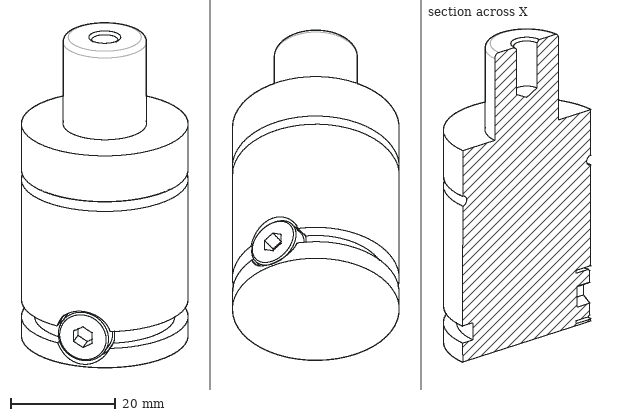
import cadquery as cq

body_diameter = 32.0
body_height = 44.0
total_height = 62.0
rod_diameter = body_diameter / 2
rod_edge_radius = 1.0

round_groove_radius = 1.0
round_groove_height = 33.5
square_groove_diameter = 26.9
square_groove_bottom = 4.0
square_groove_top = 7.5

rod_hole_diameter = 5.0
rod_hole_mouth_diameter = 6.15
rod_hole_depth = 9.9
drill_tip_depth = rod_hole_diameter / 4

plug_height = 6.0
plug_diameter = 10.0
plug_face_diameter = 9.25
plug_face_reach = 15.7
bore_diameter = 11.0
bore_floor_reach = 12.35
hex_across_corners = 4.3
hex_depth = 3.1

body_radius = body_diameter / 2


def plug_plane(reach):
    """Plane facing -Y at the given distance from the body axis."""
    return cq.Workplane("XZ", origin=(0, -reach, plug_height))


def make_body():
    body = cq.Workplane("XY").circle(body_radius).extrude(body_height)
    rod = cq.Workplane("XY").circle(rod_diameter / 2).extrude(total_height)
    return body.union(rod.faces(">Z").edges().fillet(rod_edge_radius))


def make_round_groove():
    return cq.Workplane("XY").add(
        cq.Solid.makeTorus(body_radius, round_groove_radius, cq.Vector(0, 0, round_groove_height))
    )


def make_square_groove():
    return (
        cq.Workplane("XY", origin=(0, 0, square_groove_bottom))
        .circle(body_diameter)
        .circle(square_groove_diameter / 2)
        .extrude(square_groove_top - square_groove_bottom)
    )


def make_rod_hole():
    hole_radius = rod_hole_diameter / 2
    mouth_radius = rod_hole_mouth_diameter / 2
    hole_bottom = total_height - rod_hole_depth
    profile = [
        (0, total_height),
        (mouth_radius, total_height),
        (hole_radius, total_height - (mouth_radius - hole_radius)),
        (hole_radius, hole_bottom),
        (0, hole_bottom - drill_tip_depth),
    ]
    return cq.Workplane("XZ").polyline(profile).close().revolve(360, (0, 0), (0, 1))


def make_plug():
    face_chamfer = (plug_diameter - plug_face_diameter) / 2
    plug = plug_plane(bore_floor_reach).circle(plug_diameter / 2).extrude(plug_face_reach - bore_floor_reach)
    return plug.faces("<Y").chamfer(face_chamfer)


def make_plug_bore():
    return plug_plane(bore_floor_reach).circle(bore_diameter / 2).extrude(body_radius)


def make_hex_socket():
    return (
        plug_plane(plug_face_reach)
        .transformed(rotate=(0, 0, 90))
        .polygon(6, hex_across_corners)
        .extrude(-hex_depth)
    )


result = (
    make_body()
    .cut(make_round_groove())
    .cut(make_square_groove())
    .cut(make_rod_hole())
    .cut(make_plug_bore())
    .union(make_plug())
    .cut(make_hex_socket())
)